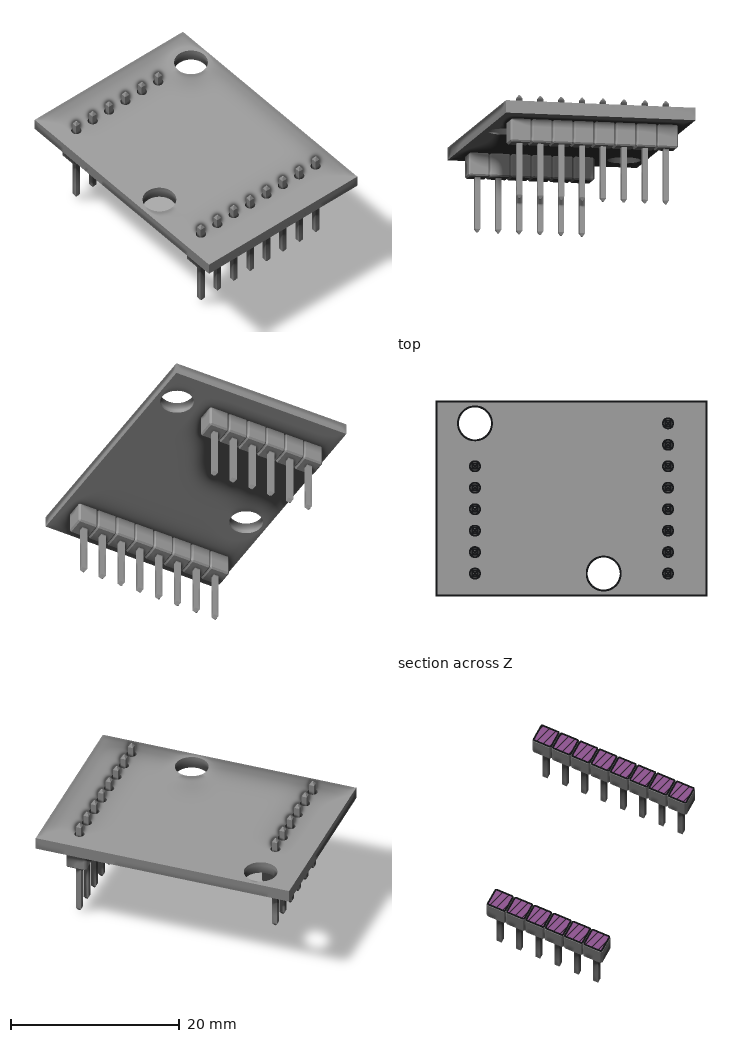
import cadquery as cq

BOARD_LENGTH = 32.0
BOARD_WIDTH = 23.0
BOARD_THICKNESS = 1.5
MOUNTING_HOLE_DIAMETER = 4.0
PIN_HOLE_DIAMETER = 1.2

LONG_ROW_PINS = 8
SHORT_ROW_PINS = 6
LONG_ROW_SPAN = 17.8
PITCH = LONG_ROW_SPAN / (LONG_ROW_PINS - 1)
PITCHES_BETWEEN_ROWS = 9
PITCHES_FROM_LONG_ROW_TO_HOLE = 3
ROW_X = PITCHES_BETWEEN_ROWS * PITCH / 2
FIRST_PIN_Y = -LONG_ROW_SPAN / 2
FRONT_HOLE_X = ROW_X - PITCHES_FROM_LONG_ROW_TO_HOLE * PITCH

PIN_WIDTH = 0.65
PIN_LENGTH = 12.4
PIN_ABOVE_BOARD = 1.5
PIN_TOP = BOARD_THICKNESS + PIN_ABOVE_BOARD
TIP_WIDTH = 0.15
TIP_HEIGHT = 0.4

HOUSING_WIDTH = PITCH
HOUSING_HEIGHT = 2.8
HOUSING_CHAMFER = 0.2


def row_points(x, pin_count):
    """Pin centres of one header row, starting at the -Y end."""
    return [(x, FIRST_PIN_Y + i * PITCH) for i in range(pin_count)]


def make_board(pin_points):
    mounting_points = [(-ROW_X, -FIRST_PIN_Y), (FRONT_HOLE_X, FIRST_PIN_Y)]
    board = cq.Workplane("XY").box(
        BOARD_LENGTH, BOARD_WIDTH, BOARD_THICKNESS, centered=(True, True, False)
    )
    top = board.faces(">Z").workplane(origin=(0, 0, 0))
    drilled = top.pushPoints(mounting_points).hole(MOUNTING_HOLE_DIAMETER)
    top = drilled.faces(">Z").workplane(origin=(0, 0, 0))
    return top.pushPoints(pin_points).hole(PIN_HOLE_DIAMETER)


def make_tip(shoulder_z, direction):
    """Taper from the full pin width to the tip; direction is +1 for up, -1 for down."""
    return (
        cq.Workplane("XY", origin=(0, 0, shoulder_z))
        .rect(PIN_WIDTH, PIN_WIDTH)
        .workplane(offset=direction * TIP_HEIGHT)
        .rect(TIP_WIDTH, TIP_WIDTH)
        .loft()
    )


def make_pin():
    upper_shoulder = PIN_TOP - TIP_HEIGHT
    lower_shoulder = PIN_TOP - PIN_LENGTH + TIP_HEIGHT
    shank = (
        cq.Workplane("XY", origin=(0, 0, lower_shoulder))
        .rect(PIN_WIDTH, PIN_WIDTH)
        .extrude(upper_shoulder - lower_shoulder)
    )
    return shank.union(make_tip(upper_shoulder, 1)).union(make_tip(lower_shoulder, -1))


def make_housing():
    return (
        cq.Workplane("XY", origin=(0, 0, -HOUSING_HEIGHT / 2))
        .box(HOUSING_WIDTH, HOUSING_WIDTH, HOUSING_HEIGHT)
        .edges()
        .chamfer(HOUSING_CHAMFER)
    )


pin_points = row_points(ROW_X, LONG_ROW_PINS) + row_points(-ROW_X, SHORT_ROW_PINS)
header_cell = make_housing().union(make_pin())

result = make_board(pin_points)
for x, y in pin_points:
    result = result.union(header_cell.translate((x, y, 0)))